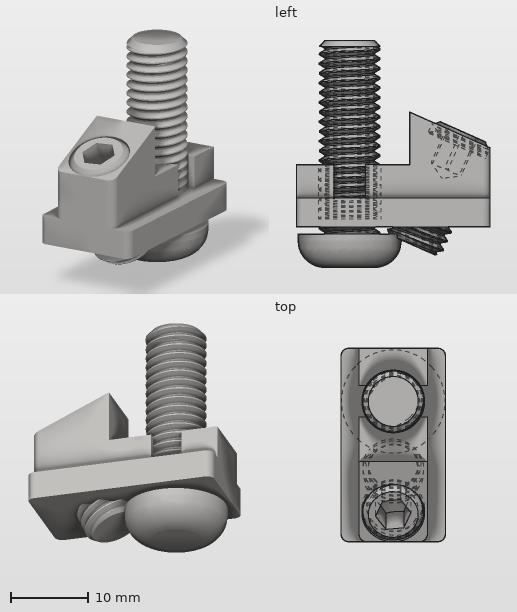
import cadquery as cq
import math


base_width = 13.5
block_length = 25.0
base_height = 3.7
corner_radius = 1.0
neck_width = 8.82
back_y = 6.88
front_y = back_y - block_length
step_height = 8.05
wedge_back_y = -7.74
wedge_top = 14.83
slope_angle = 24.0
wedge_run = wedge_back_y - front_y
wedge_low = wedge_top - wedge_run * math.tan(math.radians(slope_angle))
slot_width = 4.06

thread_diameter = 7.87
root_diameter = 6.45
pitch = 1.25
thread_root_width = 1.05
thread_crest_width = 0.16
root_overlap = 0.1
spare_turns = 2
tip_height = 0.75
clearance_diameter = 8.1

screw_top = 24.06
head_top = -0.94
head_diameter = 13.35
head_height = 4.3
head_radius = 3.45
depth_into_head = 1.0
screw_bore_floor = 1.0
screw_crest_depth = 1.12

set_screw_y = -14.41
set_screw_length = 16.0
set_screw_protrusion = 0.46
set_screw_crest_depth = 1.25
set_bore_depth = 1.5
socket_flats = 4.0
socket_depth = 5.2
socket_turn = 6.0
socket_point_angle = 118.0


def make_block():
    """Flange with rounded corners below a stepped neck that ends in a sloped wedge."""
    base = cq.Workplane("XY").center(0, (back_y + front_y) / 2).rect(base_width, block_length)
    base = base.extrude(base_height).edges("|Z").fillet(corner_radius)
    neck = (
        cq.Workplane("YZ")
        .moveTo(back_y, 0)
        .lineTo(back_y, step_height)
        .lineTo(wedge_back_y, step_height)
        .lineTo(wedge_back_y, wedge_top)
        .lineTo(front_y, wedge_low)
        .lineTo(front_y, 0)
        .close()
        .extrude(neck_width / 2, both=True)
    )
    neck = neck.edges("|Z and <Y").fillet(corner_radius)
    slot = cq.Workplane("XY").workplane(offset=base_height).rect(neck_width, slot_width)
    slot = slot.extrude(step_height - base_height)
    return base.union(neck.cut(slot))


def make_thread(length, crest_depth):
    """Right-handed ridge from Z = 0 to -length, with its crest on the -Y side at crest_depth.

    A 45 degree cone tapers the ridge down to the root diameter at its lower end.
    """
    turns = math.ceil(length / pitch) + spare_turns
    start_z = (spare_turns - turns) * pitch - crest_depth
    root_radius = root_diameter / 2
    inner_radius = root_radius - root_overlap
    flank_run = (thread_root_width - thread_crest_width) / (thread_diameter / 2 - root_radius)
    inner_width = thread_root_width + root_overlap * flank_run
    helix = cq.Wire.makeHelix(pitch, turns * pitch, root_radius)
    ridge = (
        cq.Workplane("XZ")
        .moveTo(inner_radius, -inner_width / 2)
        .lineTo(thread_diameter / 2, -thread_crest_width / 2)
        .lineTo(thread_diameter / 2, thread_crest_width / 2)
        .lineTo(inner_radius, inner_width / 2)
        .close()
        .sweep(cq.Workplane(obj=helix), isFrenet=True)
        .rotate((0, 0, 0), (0, 0, 1), -90)
        .translate((0, 0, start_z))
    )
    envelope = cq.Workplane("XY").circle(thread_diameter).extrude(-length)
    envelope = envelope.faces("<Z").chamfer(thread_diameter - root_radius)
    return ridge.intersect(envelope)


def make_screw(length, crest_depth):
    """Threaded shank hanging down from Z = 0, with a conical collar at its upper end."""
    shank = (
        cq.Workplane("XZ")
        .moveTo(0, 0)
        .lineTo(root_diameter / 2, 0)
        .lineTo(thread_diameter / 2, -tip_height)
        .lineTo(root_diameter / 2, -tip_height)
        .lineTo(root_diameter / 2, -length)
        .lineTo(0, -length)
        .close()
        .revolve(360, (0, 0, 0), (0, 1, 0))
    )
    thread = make_thread(length - tip_height, crest_depth - tip_height)
    return shank.union(thread.translate((0, 0, -tip_height)))


def make_button_screw():
    """Upright screw with a domed head below the block."""
    length = screw_top - head_top + depth_into_head
    screw = make_screw(length, screw_crest_depth).translate((0, 0, screw_top))
    head = cq.Workplane("XY").workplane(offset=head_top).circle(head_diameter / 2)
    head = head.extrude(-head_height).faces("<Z").edges().fillet(head_radius)
    return screw.union(head)


def place_on_slope(body):
    """Move a body built on the XY plane so that the plane lies on the wedge slope."""
    slope_z = wedge_top - (wedge_back_y - set_screw_y) * math.tan(math.radians(slope_angle))
    return body.rotate((0, 0, 0), (1, 0, 0), slope_angle).translate((0, set_screw_y, slope_z))


def make_socket():
    """Hexagonal recess in the set screw, with a drill-point cone for a floor."""
    hexagon_radius = socket_flats / math.sqrt(3)
    cone_height = hexagon_radius / math.tan(math.radians(socket_point_angle / 2))
    hexagon = cq.Workplane("XY").polygon(6, 2 * hexagon_radius)
    hexagon = hexagon.extrude(-(socket_depth + cone_height))
    drill = (
        cq.Workplane("XZ")
        .lineTo(hexagon_radius, 0)
        .lineTo(hexagon_radius, -socket_depth)
        .lineTo(0, -socket_depth - cone_height)
        .close()
        .revolve(360, (0, 0, 0), (0, 1, 0))
    )
    socket = hexagon.intersect(drill).rotate((0, 0, 0), (0, 0, 1), socket_turn)
    return place_on_slope(socket.translate((0, 0, set_screw_protrusion)))


def make_set_screw():
    """Tilted screw standing slightly proud of the slope."""
    screw = make_screw(set_screw_length, set_screw_crest_depth)
    return place_on_slope(screw.translate((0, 0, set_screw_protrusion)))


def make_clearance_bores():
    """Bores around the upper part of each screw; below them the screws join the block."""
    upright = cq.Workplane("XY").workplane(offset=screw_bore_floor).circle(clearance_diameter / 2)
    upright = upright.extrude(step_height - screw_bore_floor)
    tilted = cq.Workplane("XY").workplane(offset=set_screw_protrusion)
    tilted = tilted.circle(clearance_diameter / 2).extrude(-(set_bore_depth + set_screw_protrusion))
    return upright, place_on_slope(tilted)


block = make_block()
for bore in make_clearance_bores():
    block = block.cut(bore)
assembly = block.union(make_button_screw()).union(make_set_screw())
result = assembly.cut(make_socket())